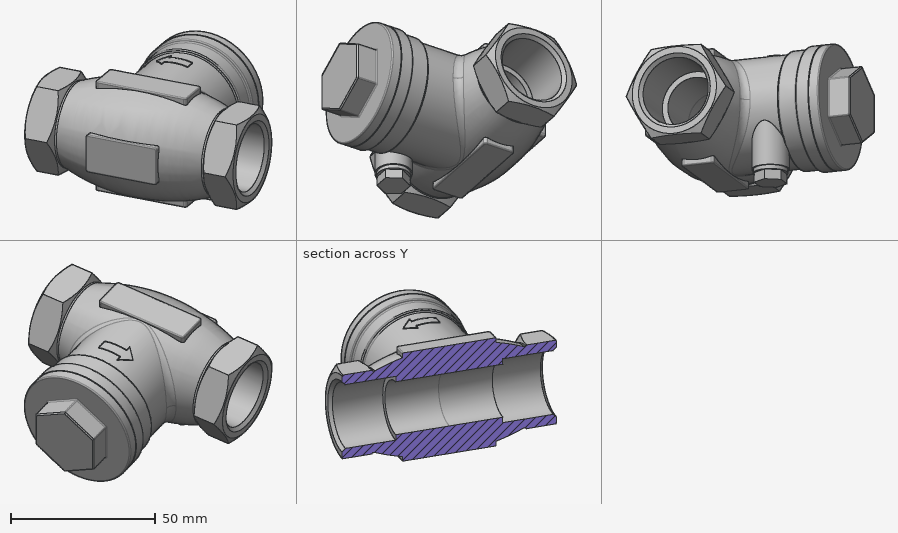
import cadquery as cq
import math


LENGTH = 80.0
BARREL_RADIUS = 20.95
BARREL_END_RADIUS = 15.6
BARREL_HALF_LENGTH = 27.8
END_HEX_FLATS = 32.0
END_HEX_LENGTH = 11.5
END_HEX_CHAMFER_RADIUS = 15.6
END_HEX_CHAMFER_ANGLE = 30.0
BORE_DIAMETER = 20.0
SOCKET_DIAMETER = 24.12
SOCKET_DEPTH = 20.0
SOCKET_MOUTH_DIAMETER = 26.6

NECK_RADIUS = 20.0
NECK_BLEND_RADIUS = 3.0
COLLAR_RADIUS = 21.0
COLLAR_START = 31.0
FLANGE_RADIUS = 22.0
FLANGE_START = 37.9
FLANGE_JOINT = 42.75
FLANGE_TOP = 46.5
STEP_FILLET = 0.45
JOINT_EDGE = 0.15
CAP_HEX_FLATS = 24.0
CAP_HEX_TOP = 54.5
CAP_HEX_SIDE_FILLET = 0.5
CAP_HEX_TOP_CHAMFER = 0.45
CAP_HEX_FOOT_FILLET = 0.4

PLATE_RIM_FILLET = 0.4
PLATE_CORNER_RADIUS = 1.0
PLATE_ROOT = 14.0
SIDE_PLATE_SIZE = (35.0, 12.0)
SIDE_PLATE_HEIGHT = 20.65
FRONT_PLATE_SIZE = (27.2, 14.0)
FRONT_PLATE_X = -0.4
FRONT_PLATE_HEIGHT = 21.0

ARROW_HEIGHT = 0.3
ARROW_Y = 23.2
ARROW_TIP_X = -8.0
ARROW_HEAD_X = -4.0
ARROW_TAIL_X = 5.0
ARROW_HEAD_HALF_WIDTH = 4.0
ARROW_SHAFT_HALF_WIDTH = 2.0

DRAIN_X = 12.0
DRAIN_Y = 25.0
BOSS_DIAMETER = 13.0
BOSS_BOTTOM = -23.6
PLUG_COLLAR_DIAMETER = 12.0
PLUG_COLLAR_BOTTOM = -25.0
PLUG_HEX_FLATS = 10.0
PLUG_BOTTOM = -28.5


def corner_diameter(flats):
    """Diameter across the corners of a hexagon given its size across flats."""
    return flats / math.cos(math.pi / 6)


def make_barrel():
    """Barrel of revolution about X with an arched outline."""
    return (
        cq.Workplane("XY")
        .moveTo(-BARREL_HALF_LENGTH, 0)
        .lineTo(-BARREL_HALF_LENGTH, BARREL_END_RADIUS)
        .threePointArc((0, BARREL_RADIUS), (BARREL_HALF_LENGTH, BARREL_END_RADIUS))
        .lineTo(BARREL_HALF_LENGTH, 0)
        .close()
        .revolve(360, (0, 0, 0), (1, 0, 0))
    )


def make_bonnet():
    """Neck, collar, two-part flange and hexagonal cap head about the Y axis."""
    steps = (
        cq.Workplane("XY")
        .lineTo(NECK_RADIUS, 0)
        .lineTo(NECK_RADIUS, COLLAR_START)
        .lineTo(COLLAR_RADIUS, COLLAR_START)
        .lineTo(COLLAR_RADIUS, FLANGE_START)
        .lineTo(FLANGE_RADIUS, FLANGE_START)
        .lineTo(FLANGE_RADIUS, FLANGE_TOP)
        .lineTo(0, FLANGE_TOP)
        .close()
        .revolve(360, (0, 0, 0), (0, 1, 0))
    )
    shoulder_zone = cq.selectors.BoxSelector(
        (-LENGTH, COLLAR_START - 1, -LENGTH), (LENGTH, FLANGE_TOP + 1, LENGTH), boundingbox=True
    )
    steps = steps.edges("%CIRCLE").edges(shoulder_zone).fillet(STEP_FILLET)
    joint_groove = (
        cq.Workplane("XY")
        .moveTo(FLANGE_RADIUS - JOINT_EDGE, FLANGE_JOINT)
        .lineTo(FLANGE_RADIUS, FLANGE_JOINT - JOINT_EDGE)
        .lineTo(FLANGE_RADIUS, FLANGE_JOINT + JOINT_EDGE)
        .close()
        .revolve(360, (0, 0, 0), (0, 1, 0))
    )
    head = (
        cq.Workplane("XZ", origin=(0, FLANGE_TOP, 0))
        .transformed(rotate=(0, 0, 90))
        .polygon(6, corner_diameter(CAP_HEX_FLATS))
        .extrude(FLANGE_TOP - CAP_HEX_TOP)
        .edges("|Y")
        .fillet(CAP_HEX_SIDE_FILLET)
        .faces(">Y")
        .edges()
        .chamfer(CAP_HEX_TOP_CHAMFER)
    )
    reach = CAP_HEX_FLATS * 0.6
    head_foot = cq.selectors.BoxSelector(
        (-reach, FLANGE_TOP - 0.1, -reach), (reach, FLANGE_TOP + 0.1, reach), boundingbox=True
    )
    return steps.cut(joint_groove).union(head).edges(head_foot).fillet(CAP_HEX_FOOT_FILLET)


def make_blended_body():
    """Barrel and bonnet with a fillet along the line where they meet."""
    body = make_barrel().union(make_bonnet())
    seam_zone = cq.selectors.BoxSelector(
        (-LENGTH, 1, -LENGTH), (LENGTH, COLLAR_START - 1, LENGTH), boundingbox=True
    )
    return body.edges(seam_zone).edges("not %LINE").fillet(NECK_BLEND_RADIUS)


def make_end_hex():
    """Pipe-end hexagon on +X: flats face +Z and -Z, corners chamfered at both ends."""
    outer = LENGTH / 2
    inner = outer - END_HEX_LENGTH
    hexagon = (
        cq.Workplane("YZ", origin=(inner, 0, 0))
        .polygon(6, corner_diameter(END_HEX_FLATS))
        .extrude(END_HEX_LENGTH)
    )
    rim = corner_diameter(END_HEX_FLATS) / 2 + 1
    run = (rim - END_HEX_CHAMFER_RADIUS) * math.tan(math.radians(END_HEX_CHAMFER_ANGLE))
    envelope = (
        cq.Workplane("XY")
        .moveTo(inner, 0)
        .lineTo(inner, END_HEX_CHAMFER_RADIUS)
        .lineTo(inner + run, rim)
        .lineTo(outer - run, rim)
        .lineTo(outer, END_HEX_CHAMFER_RADIUS)
        .lineTo(outer, 0)
        .close()
        .revolve(360, (0, 0, 0), (1, 0, 0))
    )
    collar_start = BARREL_HALF_LENGTH - 1
    collar = (
        cq.Workplane("YZ", origin=(collar_start, 0, 0))
        .circle(BARREL_END_RADIUS)
        .extrude(inner + 1 - collar_start)
    )
    return hexagon.intersect(envelope).union(collar)


def make_bore():
    """Through bore with a larger socket and a 45 degree mouth at each end."""
    end = LENGTH / 2
    bore_radius = BORE_DIAMETER / 2
    socket_radius = SOCKET_DIAMETER / 2
    mouth_radius = SOCKET_MOUTH_DIAMETER / 2
    mouth_depth = mouth_radius - socket_radius
    half = (
        cq.Workplane("XY")
        .lineTo(0, bore_radius)
        .lineTo(end - SOCKET_DEPTH, bore_radius)
        .lineTo(end - SOCKET_DEPTH, socket_radius)
        .lineTo(end - mouth_depth, socket_radius)
        .lineTo(end, mouth_radius)
        .lineTo(end, 0)
        .close()
        .revolve(360, (0, 0, 0), (1, 0, 0))
    )
    return half.union(half.mirror("YZ"))


def make_plate(size, height):
    """Upright plate rising to +Z with rounded corners and a softened top rim."""
    return (
        cq.Workplane("XY", origin=(0, 0, PLATE_ROOT))
        .rect(*size)
        .extrude(height - PLATE_ROOT)
        .edges("|Z")
        .fillet(PLATE_CORNER_RADIUS)
        .faces(">Z")
        .edges()
        .fillet(PLATE_RIM_FILLET)
    )


def make_crest_trim():
    """Block that trims the barrel crest flush with the top of the +Z plate."""
    return (
        cq.Workplane("XY", origin=(0, 0, SIDE_PLATE_HEIGHT))
        .rect(*SIDE_PLATE_SIZE)
        .extrude(BARREL_RADIUS)
    )


def make_arrow():
    """Flow arrow standing proud of the neck by a constant height."""
    upper_half = [
        (ARROW_TIP_X, 0),
        (ARROW_HEAD_X, ARROW_HEAD_HALF_WIDTH),
        (ARROW_HEAD_X, ARROW_SHAFT_HALF_WIDTH),
        (ARROW_TAIL_X, ARROW_SHAFT_HALF_WIDTH),
    ]
    lower_half = [(x, -y) for x, y in reversed(upper_half[1:])]
    prism = (
        cq.Workplane("XY", origin=(0, ARROW_Y, PLATE_ROOT))
        .polyline(upper_half + lower_half)
        .close()
        .extrude(NECK_RADIUS)
    )
    skin = cq.Workplane("XZ").circle(NECK_RADIUS + ARROW_HEIGHT).extrude(-COLLAR_START)
    return prism.intersect(skin)


def make_drain():
    """Drain boss on the underside of the neck with its collared hexagonal plug."""
    axis = cq.Workplane("XY", origin=(DRAIN_X, DRAIN_Y, 0))
    boss = axis.circle(BOSS_DIAMETER / 2).extrude(BOSS_BOTTOM)
    collar = axis.circle(PLUG_COLLAR_DIAMETER / 2).extrude(PLUG_COLLAR_BOTTOM)
    plug = axis.polygon(6, corner_diameter(PLUG_HEX_FLATS)).extrude(PLUG_BOTTOM)
    return boss.union(collar).union(plug)


side_plate = make_plate(SIDE_PLATE_SIZE, SIDE_PLATE_HEIGHT)
front_plate = (
    make_plate(FRONT_PLATE_SIZE, FRONT_PLATE_HEIGHT)
    .rotate((0, 0, 0), (1, 0, 0), 90)
    .translate((FRONT_PLATE_X, 0, 0))
)
end_hex = make_end_hex()
crest_trim = make_crest_trim()

result = (
    make_blended_body()
    .cut(crest_trim)
    .cut(crest_trim.mirror("XY"))
    .union(end_hex)
    .union(end_hex.mirror("YZ"))
    .union(side_plate)
    .union(side_plate.mirror("XY"))
    .union(front_plate)
    .union(make_arrow())
    .union(make_drain())
    .cut(make_bore())
)